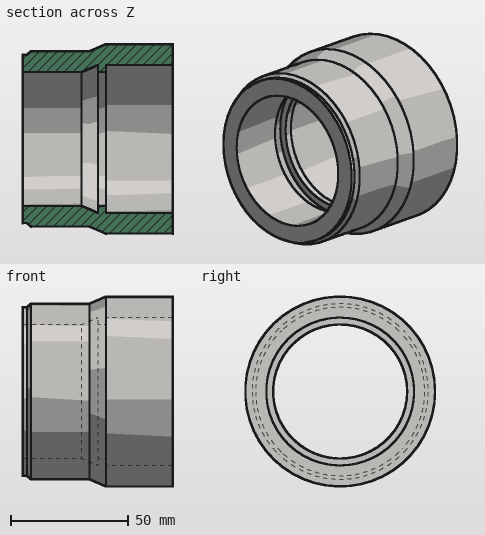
import cadquery as cq

length = 64.0
lip_diameter = 72.0
neck_diameter = 75.0
body_diameter = 81.0
lip_end = 1.9
neck_start = 3.6
neck_end = 28.5
body_start = 35.5

bore_diameter = 57.0
socket_diameter = 63.0
flare_start = 25.1
flare_length = body_start - neck_end
ring_start = flare_start + flare_length
ring_width = 3.5
ring_end = ring_start + ring_width


def revolve_about_x(sections):
    """Solid of revolution about X through (position, diameter) sections."""
    outline = [(x, diameter / 2) for x, diameter in sections]
    first_x = sections[0][0]
    last_x = sections[-1][0]
    profile = cq.Workplane("XY").polyline([(first_x, 0), *outline, (last_x, 0)]).close()
    return profile.revolve(360, (0, 0, 0), (1, 0, 0))


shell = revolve_about_x([
    (0, lip_diameter),
    (lip_end, lip_diameter),
    (neck_start, neck_diameter),
    (neck_end, neck_diameter),
    (body_start, body_diameter),
    (length, body_diameter),
])

passage = revolve_about_x([
    (0, bore_diameter),
    (flare_start, bore_diameter),
    (ring_start, socket_diameter),
    (ring_start, bore_diameter),
    (ring_end, bore_diameter),
    (ring_end, socket_diameter),
    (length, socket_diameter),
])

result = shell.cut(passage).translate((-length / 2, 0, 0))